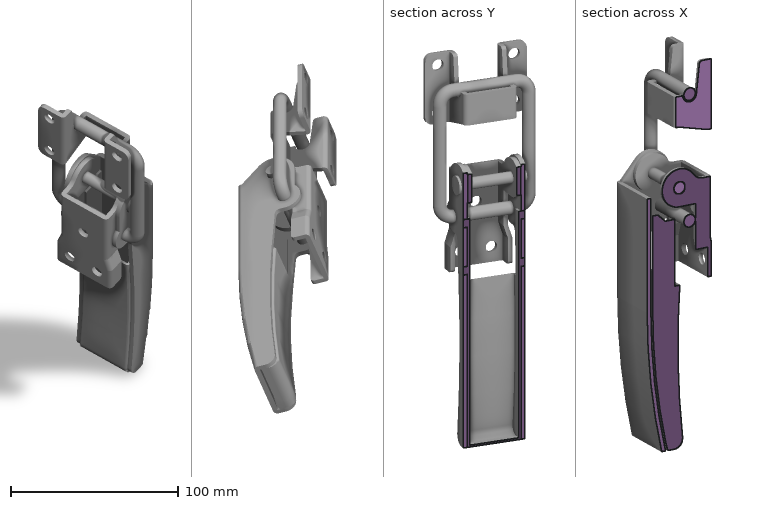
import cadquery as cq
import math


SHEET = 3.0
BEND_R = 2.7
HOLE_DIA = 7.3
HOLE_PITCH = 30.1
TOTAL_HEIGHT = 243.0
COS_45 = math.sqrt(0.5)

INNER_HALF = 14.3
MIDDLE_HALF = INNER_HALF + SHEET
OUTER_HALF = MIDDLE_HALF + SHEET

ROD_DIA = 8.3
ROD_R = ROD_DIA / 2
BAIL_HALF = 33.0
BAIL_BEND = 8.3
BAIL_Y = 15.3
BAIL_LOW_Z = 143.0
BAIL_HIGH_Z = 223.0

PIN_Y = 22.4
PIN_Z = 165.0
PIN_DIA = 7.3
LEVER_PIN_HOLE = 8.0
PIN_LEFT = -23.3
PIN_HEAD_DIA = 12.0
PIN_HEAD_THICK = 1.5

STRIKE_BOTTOM = 198.3
STRIKE_DEPTH = 25.8
STRIKE_CORNER = 4.5
STRIKE_TOP_DEPTH = 8.5
STRIKE_TIP_R = 2.2
STRIKE_BRIDGE_BOTTOM = 203.5
SEAT_R = 4.5
STRIKE_HOLE_X = 24.8
STRIKE_HOLE_TOP_Z = 235.5

BASE_TOP = 168.6
BASE_BOTTOM = 105.0
BASE_FLARE_TOP = 130.2
BASE_FLARE_BOTTOM = 121.5
BASE_DEPTH = 11.2
BASE_CORNER = 2.2
BASE_BOSS_R = 12.2
BASE_BLEND_R = 7.3
BASE_HOLE_Z = 144.8
BASE_HOLE_X = 10.0

LEVER_DEPTH = 45.0
LEVER_BACK_TOP = 162.0
LEVER_BACK_BEND_Z = 90.0
LEVER_BACK_R = 403.5
PIVOT_FRONT_R = 13.4
PIVOT_BACK_R = 12.2
EYE_R = 10.0
EYE_BOTTOM = BAIL_LOW_Z - EYE_R
NECK_R = 3.2
GRIP_MID_Z = 65.5
GRIP_EDGE_Y = 24.5
GRIP_R = 534.5
TIP_R = 6.3

INSERT_THICK = 1.5
INSERT_TOP = 103.5
INSERT_RELIEF_Z = 4.4
INSERT_GAP = 1.0
INSERT_TIP_END = 30.5
FLANGE_TOP = 150.7
FLANGE_CORNER_Y = 37.5
FLANGE_SHOULDER_Y = 32.0
FLANGE_SHOULDER_Z = 145.8
FLANGE_FRONT_Y = 25.5
STUB_DIA = 4.9
STUB_Y = 30.1
STUB_TOP_Z = 143.1


def side_extrusion(outline, half_width):
    """Solid from a closed YZ outline, reaching half_width to each side of X = 0."""
    return outline.extrude(half_width, both=True)


def nearest_edge(point):
    return cq.selectors.NearestToPointSelector(point)


def side_plane():
    return cq.Workplane("YZ")


def cross_rod(y, z, diameter, x_start, x_end):
    return side_plane().workplane(offset=x_start).center(y, z).circle(diameter / 2).extrude(x_end - x_start)


def pin_hole(diameter):
    return cross_rod(PIN_Y, PIN_Z, diameter, -OUTER_HALF, OUTER_HALF)


def front_holes(points):
    """Screw holes running along Y through the mounting face."""
    return cq.Workplane("XZ").pushPoints(points).circle(HOLE_DIA / 2).extrude(SHEET, both=True)


def strike_profile():
    """Side shape of the webs, with a round seat for the wire below the top end."""
    hook_y = BAIL_Y - SEAT_R
    return (
        side_plane()
        .moveTo(0, STRIKE_BOTTOM)
        .lineTo(SHEET, STRIKE_BOTTOM)
        .lineTo(STRIKE_DEPTH - SHEET, STRIKE_BRIDGE_BOTTOM)
        .lineTo(STRIKE_DEPTH, STRIKE_BRIDGE_BOTTOM)
        .lineTo(STRIKE_DEPTH, BAIL_HIGH_Z)
        .lineTo(BAIL_Y + SEAT_R, BAIL_HIGH_Z)
        .threePointArc((BAIL_Y, BAIL_HIGH_Z - SEAT_R), (hook_y, BAIL_HIGH_Z))
        .lineTo(STRIKE_TOP_DEPTH, TOTAL_HEIGHT)
        .lineTo(0, TOTAL_HEIGHT)
        .close()
    )


def make_strike():
    height = TOTAL_HEIGHT - STRIKE_BOTTOM
    mid_z = STRIKE_BOTTOM + height / 2
    channel = side_extrusion(strike_profile(), MIDDLE_HALF)
    channel = channel.edges("|Z and >Y").fillet(BEND_R)
    tip = nearest_edge((0, STRIKE_TOP_DEPTH, TOTAL_HEIGHT))
    channel = channel.edges(tip).fillet(STRIKE_TIP_R)
    ears = (
        cq.Workplane("XY")
        .box(2 * BAIL_HALF, SHEET, height, centered=(True, False, True))
        .translate((0, 0, mid_z))
        .edges("|Y")
        .fillet(STRIKE_CORNER)
    )
    inside = (
        cq.Workplane("XY")
        .box(2 * INNER_HALF, STRIKE_DEPTH - SHEET, 2 * height, centered=(True, False, True))
        .translate((0, 0, mid_z))
    )
    strike = channel.union(ears).cut(inside)
    for side in (-1, 1):
        bend = nearest_edge((side * INNER_HALF, 0, mid_z))
        strike = strike.edges(bend).fillet(BEND_R)
    rows = (STRIKE_HOLE_TOP_Z, STRIKE_HOLE_TOP_Z - HOLE_PITCH)
    return strike.cut(front_holes([(side * STRIKE_HOLE_X, z) for side in (-1, 1) for z in rows]))


def make_bail():
    """Round wire swept along a rectangle with rounded corners."""
    half = BAIL_HALF - ROD_R
    inner = half - BAIL_BEND
    low = BAIL_LOW_Z + BAIL_BEND
    high = BAIL_HIGH_Z - BAIL_BEND
    diagonal = BAIL_BEND * COS_45
    path = (
        cq.Workplane("XZ", origin=(0, BAIL_Y, 0))
        .moveTo(-inner, BAIL_LOW_Z)
        .lineTo(inner, BAIL_LOW_Z)
        .threePointArc((inner + diagonal, low - diagonal), (half, low))
        .lineTo(half, high)
        .threePointArc((inner + diagonal, high + diagonal), (inner, BAIL_HIGH_Z))
        .lineTo(-inner, BAIL_HIGH_Z)
        .threePointArc((-inner - diagonal, high + diagonal), (-half, high))
        .lineTo(-half, low)
        .threePointArc((-inner - diagonal, low - diagonal), (-inner, BAIL_LOW_Z))
        .close()
    )
    start = cq.Plane(origin=(-inner, BAIL_Y, BAIL_LOW_Z), xDir=(0, 0, -1), normal=(1, 0, 0))
    return cq.Workplane(start).circle(ROD_R).sweep(path)


def base_front_outline(upper_half, lower_half):
    """Channel width along its length, wider below the flare."""
    top = PIN_Z + 2 * BASE_BOSS_R
    right = [
        (upper_half, top),
        (upper_half, BASE_FLARE_TOP),
        (lower_half, BASE_FLARE_BOTTOM),
        (lower_half, BASE_BOTTOM),
    ]
    left = [(-x, z) for x, z in reversed(right)]
    return cq.Workplane("XZ").polyline(right + left).close()


def base_side_outline():
    """Side shape of the webs: a low strip that rises to a boss about the pin."""
    blend_z = BASE_TOP + BASE_BLEND_R
    reach = BASE_BOSS_R + BASE_BLEND_R
    blend_y = PIN_Y - math.sqrt(reach**2 - (blend_z - PIN_Z) ** 2)
    share = BASE_BLEND_R / reach
    meet_y = blend_y + share * (PIN_Y - blend_y)
    meet_z = blend_z + share * (PIN_Z - blend_z)
    half_angle = math.atan2(meet_z - blend_z, meet_y - blend_y) / 2 - math.pi / 4
    blend_mid_y = blend_y + BASE_BLEND_R * math.cos(half_angle)
    blend_mid_z = blend_z + BASE_BLEND_R * math.sin(half_angle)
    boss_bottom = PIN_Z - BASE_BOSS_R
    boss_diagonal = BASE_BOSS_R * COS_45
    return (
        side_plane()
        .moveTo(0, BASE_BOTTOM)
        .lineTo(BASE_DEPTH, BASE_BOTTOM)
        .lineTo(BASE_DEPTH, boss_bottom)
        .lineTo(PIN_Y, boss_bottom)
        .threePointArc((PIN_Y + BASE_BOSS_R, PIN_Z), (PIN_Y, PIN_Z + BASE_BOSS_R))
        .threePointArc((PIN_Y - boss_diagonal, PIN_Z + boss_diagonal), (meet_y, meet_z))
        .threePointArc((blend_mid_y, blend_mid_z), (blend_y, BASE_TOP))
        .lineTo(0, BASE_TOP)
        .close()
    )


def make_base():
    depth = PIN_Y + 2 * BASE_BOSS_R
    channel = base_front_outline(MIDDLE_HALF, OUTER_HALF).extrude(-depth)
    channel = channel.faces("<Y").edges("not |X").fillet(BEND_R)
    inside = base_front_outline(INNER_HALF, MIDDLE_HALF).extrude(-depth).translate((0, SHEET, 0))
    sides = side_extrusion(base_side_outline(), 2 * OUTER_HALF)
    corner = nearest_edge((0, BASE_DEPTH, BASE_BOTTOM))
    sides = sides.edges(corner).fillet(BASE_CORNER)
    low_z = BASE_HOLE_Z - HOLE_PITCH
    holes = front_holes([(0, BASE_HOLE_Z), (-BASE_HOLE_X, low_z), (BASE_HOLE_X, low_z)])
    return channel.cut(inside).intersect(sides).cut(holes).cut(pin_hole(PIN_DIA))


def make_pin():
    shank = cross_rod(PIN_Y, PIN_Z, PIN_DIA, PIN_LEFT, OUTER_HALF)
    return shank.union(cross_rod(PIN_Y, PIN_Z, PIN_HEAD_DIA, OUTER_HALF, OUTER_HALF + PIN_HEAD_THICK))


def grip_y(z, inset=0.0):
    """Y of the hollow front edge of the grip; the inset moves the edge toward the front."""
    radius = GRIP_R - inset
    return GRIP_EDGE_Y - GRIP_R + math.sqrt(radius**2 - (z - GRIP_MID_Z) ** 2)


def back_y(z, inset=0.0):
    """Y of the lever back; the inset moves the surface toward the front."""
    drop = max(LEVER_BACK_BEND_Z - z, 0)
    return LEVER_DEPTH - LEVER_BACK_R + math.sqrt((LEVER_BACK_R - inset) ** 2 - drop**2)


def back_arc_points(inset, end_z):
    """Middle and upper end of the curved stretch of the back."""
    mid_z = (end_z + LEVER_BACK_BEND_Z) / 2
    return (back_y(mid_z, inset), mid_z), (LEVER_DEPTH - inset, LEVER_BACK_BEND_Z)


def lever_neck_y():
    """Y of the corner below the eye: the straight neck leaves the grip hollow almost tangentially."""
    slope = (INSERT_TOP - GRIP_MID_Z) / GRIP_R
    return grip_y(INSERT_TOP) - slope * (EYE_BOTTOM - INSERT_TOP)


def lever_outline():
    pivot_top = PIN_Z + PIVOT_FRONT_R
    front_y = PIN_Y - PIVOT_FRONT_R
    shoulder_y = LEVER_DEPTH - SHEET
    back_center_z = pivot_top - PIVOT_BACK_R
    dy = shoulder_y - PIN_Y
    dz = LEVER_BACK_TOP - back_center_z
    angle = math.atan2(dz, dy) + math.acos(PIVOT_BACK_R / math.hypot(dy, dz))
    mid_angle = (angle + math.pi / 2) / 2

    def on_back_arc(at):
        return PIN_Y + PIVOT_BACK_R * math.cos(at), back_center_z + PIVOT_BACK_R * math.sin(at)

    front_diagonal = PIVOT_FRONT_R * COS_45
    eye_z = BAIL_LOW_Z + math.sqrt(EYE_R**2 - (BAIL_Y - front_y) ** 2)
    tip_arc_mid, tip_arc_end = back_arc_points(0, 0)
    return (
        side_plane()
        .moveTo(back_y(0), 0)
        .threePointArc(tip_arc_mid, tip_arc_end)
        .lineTo(LEVER_DEPTH, LEVER_BACK_TOP)
        .lineTo(shoulder_y, LEVER_BACK_TOP)
        .lineTo(*on_back_arc(angle))
        .threePointArc(on_back_arc(mid_angle), (PIN_Y, pivot_top))
        .threePointArc((PIN_Y - front_diagonal, PIN_Z + front_diagonal), (front_y, PIN_Z))
        .lineTo(front_y, eye_z)
        .threePointArc((BAIL_Y - EYE_R, BAIL_LOW_Z), (BAIL_Y, EYE_BOTTOM))
        .lineTo(lever_neck_y(), EYE_BOTTOM)
        .lineTo(grip_y(INSERT_TOP), INSERT_TOP)
        .threePointArc((GRIP_EDGE_Y, GRIP_MID_Z), (grip_y(0), 0))
        .close()
    )


def lever_cavity():
    """Everything in front of the back plate, between the side walls."""
    below = -2.5
    arc_mid, arc_end = back_arc_points(SHEET, below)
    outline = (
        side_plane()
        .moveTo(0, below)
        .lineTo(back_y(below, SHEET), below)
        .threePointArc(arc_mid, arc_end)
        .lineTo(LEVER_DEPTH - SHEET, TOTAL_HEIGHT)
        .lineTo(0, TOTAL_HEIGHT)
        .close()
    )
    return side_extrusion(outline, MIDDLE_HALF)


def make_lever():
    lever = side_extrusion(lever_outline(), OUTER_HALF)
    neck = nearest_edge((0, lever_neck_y(), EYE_BOTTOM))
    lever = lever.edges(neck).fillet(NECK_R)
    tip = nearest_edge((0, grip_y(0), 0))
    lever = lever.edges(tip).fillet(TIP_R)
    lever = lever.faces(">Y").edges("|Z").fillet(BEND_R)
    lever = lever.cut(lever_cavity())
    return lever.cut(pin_hole(LEVER_PIN_HOLE)).cut(make_bail()).cut(make_stubs())


def insert_outline():
    back_inset = SHEET + INSERT_GAP
    back_start_z = TIP_R
    arc_mid, arc_end = back_arc_points(back_inset, back_start_z)
    return (
        side_plane()
        .moveTo(grip_y(0, INSERT_THICK), 0)
        .lineTo(INSERT_TIP_END, 0)
        .lineTo(back_y(back_start_z, back_inset), back_start_z)
        .threePointArc(arc_mid, arc_end)
        .lineTo(LEVER_DEPTH - back_inset, FLANGE_TOP)
        .lineTo(FLANGE_CORNER_Y, FLANGE_TOP)
        .lineTo(FLANGE_SHOULDER_Y, FLANGE_SHOULDER_Z)
        .lineTo(FLANGE_FRONT_Y, FLANGE_SHOULDER_Z)
        .lineTo(FLANGE_FRONT_Y, INSERT_TOP)
        .lineTo(grip_y(INSERT_TOP, INSERT_THICK), INSERT_TOP)
        .threePointArc((GRIP_EDGE_Y - INSERT_THICK, GRIP_MID_Z), (grip_y(0, INSERT_THICK), 0))
        .close()
    )


def insert_cavity():
    outline = (
        side_plane()
        .moveTo(grip_y(INSERT_THICK), INSERT_THICK)
        .lineTo(LEVER_DEPTH, INSERT_THICK)
        .lineTo(LEVER_DEPTH, TOTAL_HEIGHT)
        .lineTo(grip_y(INSERT_TOP), TOTAL_HEIGHT)
        .lineTo(grip_y(INSERT_TOP), INSERT_TOP)
        .threePointArc((GRIP_EDGE_Y, GRIP_MID_Z), (grip_y(INSERT_THICK), INSERT_THICK))
        .close()
    )
    cavity = side_extrusion(outline, MIDDLE_HALF - INSERT_THICK)
    tip = nearest_edge((0, grip_y(INSERT_THICK), INSERT_THICK))
    return cavity.edges(tip).fillet(TIP_R - INSERT_THICK)


def make_stubs():
    """Round stubs that fill the holes in the lever walls, flush with the outside."""
    heights = (STUB_TOP_Z, STUB_TOP_Z - HOLE_PITCH)
    stubs = cq.Workplane()
    for z in heights:
        for start in (-OUTER_HALF, MIDDLE_HALF):
            stubs = stubs.add(cross_rod(STUB_Y, z, STUB_DIA, start, start + SHEET))
    return stubs.combine()


def make_insert():
    square = side_extrusion(insert_outline(), MIDDLE_HALF)
    tip = nearest_edge((0, grip_y(0, INSERT_THICK), 0))
    square = square.edges(tip).fillet(TIP_R)
    rounded = square
    for side in (-1, 1):
        front = (side * MIDDLE_HALF, grip_y(GRIP_MID_Z, INSERT_THICK), GRIP_MID_Z)
        rounded = rounded.edges(nearest_edge(front)).fillet(INSERT_THICK)
    tip_zone = cq.Workplane("XY").rect(2 * BAIL_HALF, 2 * LEVER_DEPTH).extrude(INSERT_RELIEF_Z)
    insert = rounded.cut(tip_zone).union(square.intersect(tip_zone))
    return insert.cut(insert_cavity()).union(make_stubs())


strike = make_strike()
bail = make_bail()
base = make_base()
pin = make_pin()
lever = make_lever()
insert = make_insert()

result = cq.Compound.makeCompound(
    [strike.val(), bail.val(), base.val(), pin.val(), lever.val(), insert.val()]
)